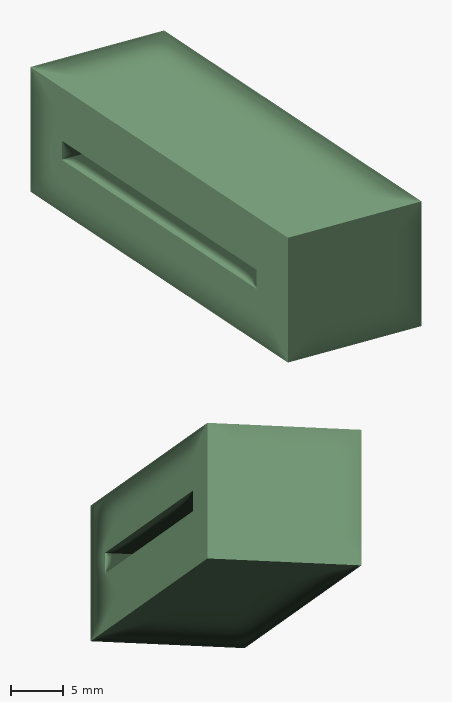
import cadquery as cq

length = 45.0
depth = 15.0
height = 13.0
slot_length = 34.0
slot_height = 2.0

half_height = height / 2
recess_depth = slot_height / 2


def core_half(side):
    """Flat bar with a recess in its mating face at Z = 0; side is +1 for above, -1 for below."""
    bar = cq.Workplane("XY").rect(length, depth).extrude(side * half_height)
    recess = cq.Workplane("XY").rect(slot_length, depth).extrude(side * recess_depth)
    return bar.cut(recess)


upper_half = core_half(1)
lower_half = core_half(-1)

result = cq.Compound.makeCompound([upper_half.val(), lower_half.val()])